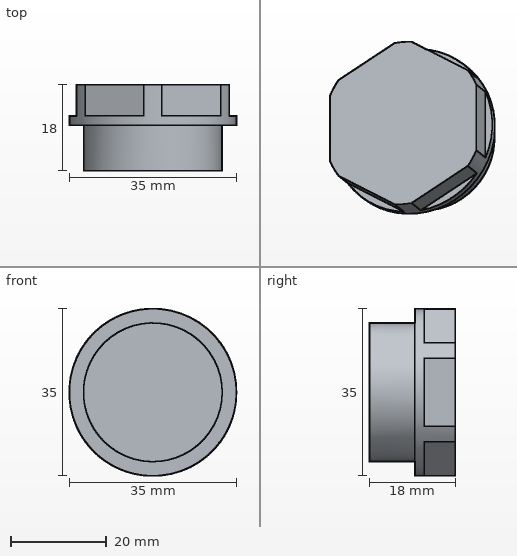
import cadquery as cq

plug_diameter = 29.0
plug_length = 9.5
flange_diameter = 35.0
flange_thickness = 2.0
hex_across_flats = 32.0
hex_length = 6.5
hex_sides = 6

plug_end_y = 0.0
flange_front_y = plug_end_y + plug_length
flange_back_y = flange_front_y + flange_thickness


def disc(diameter, start_y, length):
    """Solid cylinder along +Y starting at start_y."""
    plane = cq.Workplane("XZ", origin=(0, start_y, 0))
    return plane.circle(diameter / 2).extrude(-length)


def hex_head():
    """Hexagon with flats facing +X and -X, its corners rounded to the flange diameter."""
    head = disc(flange_diameter, flange_back_y, hex_length)
    flat_distance = hex_across_flats / 2
    for side in range(hex_sides):
        outside_flat = (
            cq.Workplane("XY")
            .box(flange_diameter, hex_length, flange_diameter, centered=(False, False, True))
            .translate((flat_distance, flange_back_y, 0))
            .rotate((0, 0, 0), (0, 1, 0), side * 360 / hex_sides)
        )
        head = head.cut(outside_flat)
    return head


plug = disc(plug_diameter, plug_end_y, plug_length)
flange = disc(flange_diameter, flange_front_y, flange_thickness)

result = plug.union(flange).union(hex_head())